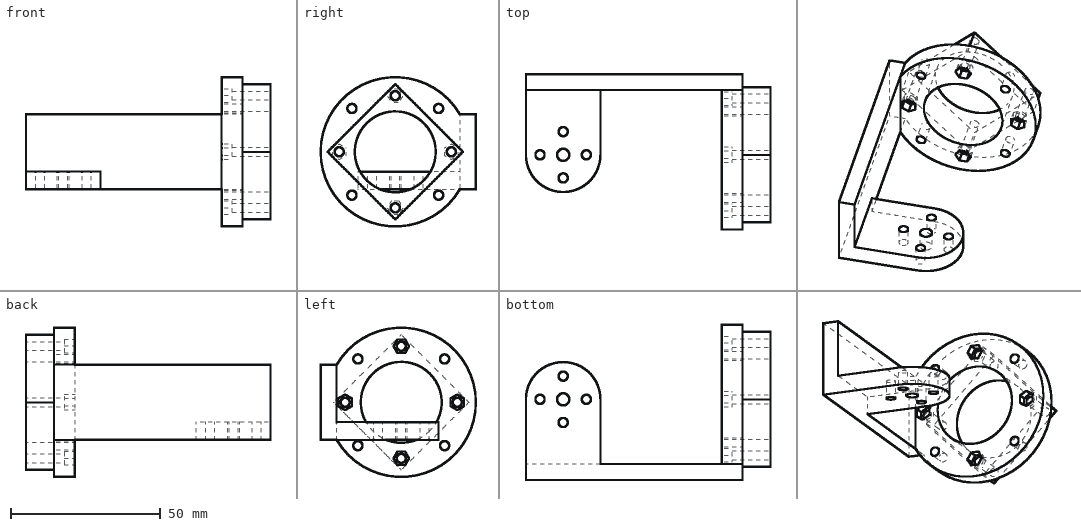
import cadquery as cq
import math


arm_length = 65.5
arm_height = 25.2
tongue_width = 25.0
arm_thickness = 5.4
arm_outer_y = 27.0
tongue_thickness = 6.0
tongue_radius = tongue_width / 2
tongue_center_hole = 4.0
tongue_screw_hole = 3.0
tongue_screw_offset = 7.75

flange_diameter = 50.0
flange_thickness = 7.0
block_side = 32.0
block_thickness = 9.4
block_turn = 45
bore_diameter = 27.0

screw_hole = 3.0
diagonal_screw_radius = 20.5
diagonal_angle = 45
nut_screw_radius = 18.75
screw_count = 4
nut_sides = 6
nut_across_flats = 4.5
nut_pocket_depth = 3.5

flange_front_x = arm_length
flange_back_x = flange_front_x + flange_thickness


def cross_section(x):
    """Workplane at the given X: local x is +Y, local y is +Z."""
    return cq.Workplane("YZ", origin=(x, 0, 0))


def screw_ring(plane, ring_radius, start_angle, diameter, length):
    """Evenly spaced cylinders on a circle, used to cut screw holes."""
    centers = plane.polarArray(ring_radius, start_angle, 360, screw_count)
    return centers.circle(diameter / 2).extrude(length)


def make_arm():
    """Flat wall running from the free end to the back of the flange."""
    start = cq.Workplane("XY", origin=(0, arm_outer_y - arm_thickness, 0))
    return start.box(flange_back_x, arm_thickness, arm_height, centered=(False, False, True))


def make_tongue():
    """Round-ended plate along the bottom edge of the arm, with its five holes."""
    bottom = cq.Workplane("XY", origin=(tongue_radius, 0, -arm_height / 2))
    plate = (
        bottom.moveTo(-tongue_radius, arm_outer_y)
        .lineTo(-tongue_radius, 0)
        .threePointArc((0, -tongue_radius), (tongue_radius, 0))
        .lineTo(tongue_radius, arm_outer_y)
        .close()
        .extrude(tongue_thickness)
    )
    center_hole = bottom.circle(tongue_center_hole / 2).extrude(tongue_thickness)
    screw_holes = screw_ring(bottom, tongue_screw_offset, 0, tongue_screw_hole, tongue_thickness)
    return plate.cut(center_hole).cut(screw_holes)


def make_flange():
    """Round flange with a square block behind it, standing on its corner."""
    disc = cross_section(flange_front_x).circle(flange_diameter / 2).extrude(flange_thickness)
    block = (
        cross_section(flange_back_x)
        .transformed(rotate=(0, 0, block_turn))
        .rect(block_side, block_side)
        .extrude(block_thickness)
    )
    return disc.union(block)


def make_flange_cuts():
    """Bore, screw holes and hexagonal nut pockets, all along X."""
    cut_length = flange_thickness + block_thickness
    front = cross_section(flange_front_x)
    nut_across_corners = nut_across_flats / math.cos(math.pi / nut_sides)
    bore = front.circle(bore_diameter / 2).extrude(cut_length)
    diagonal_holes = screw_ring(front, diagonal_screw_radius, diagonal_angle, screw_hole, cut_length)
    nut_holes = screw_ring(front, nut_screw_radius, 0, screw_hole, cut_length)
    cuts = bore.union(diagonal_holes).union(nut_holes)

    pocket = (
        front.center(nut_screw_radius, 0)
        .transformed(rotate=(0, 0, 180 / nut_sides))
        .polygon(nut_sides, nut_across_corners)
        .extrude(nut_pocket_depth)
    )
    for index in range(screw_count):
        cuts = cuts.union(pocket.rotate((0, 0, 0), (1, 0, 0), index * 360 / screw_count))
    return cuts


result = make_arm().union(make_tongue()).union(make_flange()).cut(make_flange_cuts())